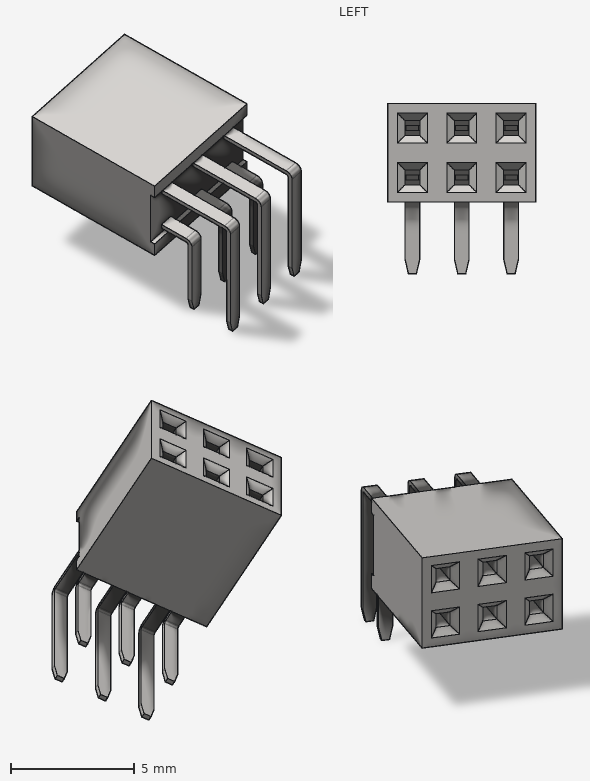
import cadquery as cq


overall_length = 9.72
overall_height = 6.9
housing_width = 6.0
columns = 3
rows = 2
pitch = housing_width / columns

housing_length = 6.35
housing_height = rows * pitch
recess_depth = 0.2
recess_lip = 0.66
recess_face_x = housing_length - recess_depth

mouth_size = 1.21
bore_size = 0.6
funnel_depth = (mouth_size - bore_size) / 2
bore_depth = 3.21
slot_height = 0.2
slot_taper = 0.05

pin_width = 0.6
pin_thickness = 0.2
bend_inner_radius = 0.1
bend_outer_radius = bend_inner_radius + pin_thickness
tip_width = 0.33
tip_length = 0.58
pin_bottom_z = housing_height - overall_height

column_positions = [(i - (columns - 1) / 2) * pitch for i in range(columns)]
row_heights = [(j + 0.5) * pitch for j in range(rows)]


def make_housing():
    """Block with a shallow recess running across the full width of its rear face."""
    block = cq.Workplane("XY").box(
        housing_length, housing_width, housing_height, centered=(False, True, False)
    )
    recess = (
        cq.Workplane("XY")
        .box(
            recess_depth, housing_width, housing_height - 2 * recess_lip,
            centered=(False, True, False),
        )
        .translate((recess_face_x, 0, recess_lip))
    )
    return block.cut(recess)


def make_socket(y, z):
    """Funnel mouth, square bore, and a narrowing contact slot in the bore floor."""
    funnel = (
        cq.Workplane("YZ", origin=(0, y, z))
        .rect(mouth_size, mouth_size)
        .workplane(offset=funnel_depth)
        .rect(bore_size, bore_size)
        .loft(ruled=True)
    )
    bore = (
        cq.Workplane("YZ", origin=(funnel_depth, y, z))
        .rect(bore_size, bore_size)
        .extrude(bore_depth - funnel_depth)
    )
    slot = (
        cq.Workplane("YZ", origin=(bore_depth, y, z))
        .rect(bore_size, slot_height)
        .workplane(offset=slot_taper)
        .rect(bore_size - 2 * slot_taper, slot_height)
        .loft(ruled=True)
    )
    return funnel.union(bore).union(slot)


def make_pin(y, z, leg_x):
    """Flat pin leaving the rear face at height z, bent down to a leg whose outer face is at leg_x."""
    top_z = z + pin_thickness / 2
    bent_strip = (
        cq.Workplane("XZ", origin=(0, y, 0))
        .moveTo(recess_face_x, top_z)
        .lineTo(leg_x - bend_outer_radius, top_z)
        .radiusArc((leg_x, top_z - bend_outer_radius), bend_outer_radius)
        .lineTo(leg_x, pin_bottom_z)
        .lineTo(leg_x - pin_thickness, pin_bottom_z)
        .lineTo(leg_x - pin_thickness, top_z - bend_outer_radius)
        .radiusArc((leg_x - bend_outer_radius, top_z - pin_thickness), -bend_inner_radius)
        .lineTo(recess_face_x, top_z - pin_thickness)
        .close()
        .extrude(pin_width / 2, both=True)
    )
    outline = (
        cq.Workplane("YZ", origin=(recess_face_x, y, 0))
        .polyline([
            (-pin_width / 2, top_z),
            (-pin_width / 2, pin_bottom_z + tip_length),
            (-tip_width / 2, pin_bottom_z),
            (tip_width / 2, pin_bottom_z),
            (pin_width / 2, pin_bottom_z + tip_length),
            (pin_width / 2, top_z),
        ])
        .close()
        .extrude(leg_x - recess_face_x)
    )
    return bent_strip.intersect(outline)


result = make_housing()
for column_y in column_positions:
    for row, row_z in enumerate(row_heights):
        row_leg_x = overall_length - (rows - 1 - row) * pitch
        result = result.cut(make_socket(column_y, row_z))
        result = result.union(make_pin(column_y, row_z, row_leg_x))